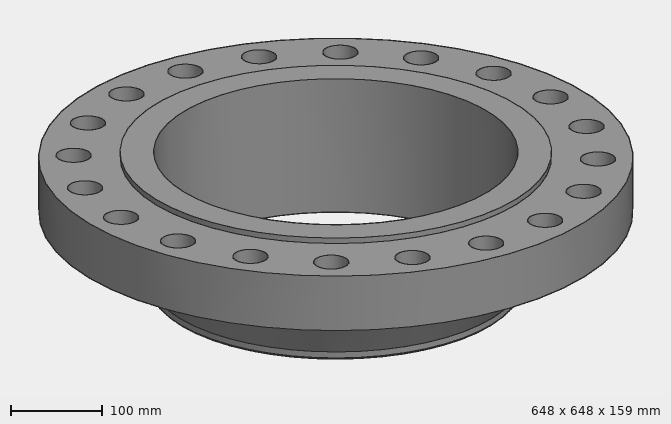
import cadquery as cq

flange_diameter = 648.0
flange_thickness = 65.0
overall_height = 159.0

face_diameter = 470.0
face_height = 6.5

bore_diameter = 397.0
hub_base_diameter = 479.0
weld_end_diameter = 408.0
weld_end_length = 10.0
weld_bevel = 2.5
hub_fillet = 13.0

bolt_count = 20
bolt_circle_diameter = 571.0
bolt_hole_diameter = 38.0

flange_top = overall_height - face_height
flange_bottom = flange_top - flange_thickness


def make_body():
    """Revolve the half section of the flange about the Z axis and round the hub root."""
    bore_radius = bore_diameter / 2
    weld_radius = weld_end_diameter / 2
    profile = [
        (bore_radius, 0),
        (weld_radius - weld_bevel, 0),
        (weld_radius, weld_bevel),
        (weld_radius, weld_end_length),
        (hub_base_diameter / 2, flange_bottom),
        (flange_diameter / 2, flange_bottom),
        (flange_diameter / 2, flange_top),
        (face_diameter / 2, flange_top),
        (face_diameter / 2, overall_height),
        (bore_radius, overall_height),
    ]
    body = cq.Workplane("XZ").polyline(profile).close().revolve(360, (0, 0), (0, 1))
    hub_radius = hub_base_diameter / 2
    hub_root = cq.selectors.BoxSelector(
        (-hub_radius - hub_fillet, -hub_radius - hub_fillet, flange_bottom - face_height / 2),
        (hub_radius + hub_fillet, hub_radius + hub_fillet, flange_bottom + face_height / 2),
        boundingbox=True,
    )
    return body.edges(hub_root).fillet(hub_fillet)


def make_bolt_holes():
    """Cylinders through the plate, evenly spaced with one on the X axis."""
    return (
        cq.Workplane("XY")
        .workplane(offset=flange_bottom)
        .polarArray(bolt_circle_diameter / 2, 0, 360, bolt_count)
        .circle(bolt_hole_diameter / 2)
        .extrude(flange_thickness)
    )


result = make_body().cut(make_bolt_holes())